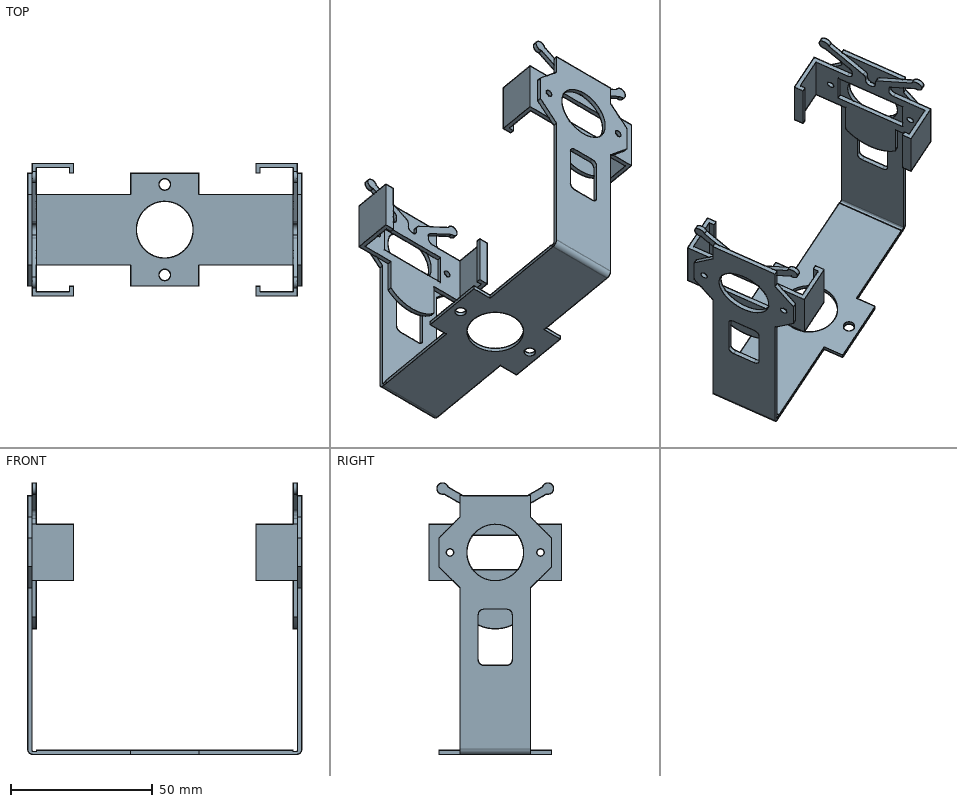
import cadquery as cq
import math

length = 97.0
half_length = length / 2
overall_height = 96.1
sheet = 1.6

half_width = 12.5
upright_height = 91.6
bend_radius = 1.9
relief_depth = 0.4
relief_fillet = 0.3

tab_reach = 20.0
opening_radius = 10.0
screw_y = 16.0

tab_half_length = 12.0
base_hole_diameter = 4.0

eye_z = 71.5
ear_half_flat = 5.0
ear_root_half_height = ear_half_flat + tab_reach - half_width
upright_hole_diameter = 2.5
window_width = 12.0
window_height = 19.8
window_z = 41.5
window_corner_radius = 1.9

clip_back_x = -half_length + sheet
clip_half_width = 46.9 / 2
clip_height = 20.0
clip_reach = 16.3
clip_top = eye_z + clip_height / 2
clip_bottom = eye_z - clip_height / 2
clip_window_width = 26.0
clip_window_height = 12.1
tongue_half_width = 10.0
tongue_corner_z = 48.6
tongue_tip_z = 44.4

ball_radius = 2.0
ball_y = 18.6
ball_z = overall_height - ball_radius
finger_width = 2.9
finger_angle = math.radians(30)
finger_fillet = 1.9
finger_root_y = 7.4
slot_radius = 1.9
slot_round_z = 83.6


def x_edges(body, points):
    """Edges of the clip plate along X that lie nearest to each (y, z) point."""
    middle_x = clip_back_x + sheet / 2
    along_x = body.edges("|X")
    nearest = [cq.selectors.NearestToPointSelector((middle_x, y, z)) for y, z in points]
    return body.newObject([along_x.edges(selector).val() for selector in nearest])


def bracket_strip():
    """Side profile of the U, with a shallow relief groove along each bend."""
    floor = sheet - relief_depth
    inner = half_length - sheet
    return (
        cq.Workplane("XZ")
        .moveTo(0, 0)
        .lineTo(half_length - bend_radius, 0)
        .radiusArc((half_length, bend_radius), -bend_radius)
        .lineTo(half_length, upright_height)
        .lineTo(inner, upright_height)
        .lineTo(inner, floor + relief_fillet)
        .radiusArc((inner - relief_fillet, floor), relief_fillet)
        .lineTo(inner - sheet, floor)
        .lineTo(inner - sheet, sheet)
        .lineTo(0, sheet)
        .mirrorY()
        .extrude(half_width, both=True)
    )


def base_tabs():
    return cq.Workplane("XY").rect(2 * tab_half_length, 2 * tab_reach).extrude(sheet)


def upright_ears():
    """Bevelled ears beside the eye of both uprights."""
    left = (
        cq.Workplane("YZ", origin=(-half_length, 0, eye_z))
        .moveTo(0, ear_root_half_height)
        .lineTo(half_width, ear_root_half_height)
        .lineTo(tab_reach, ear_half_flat)
        .lineTo(tab_reach, -ear_half_flat)
        .lineTo(half_width, -ear_root_half_height)
        .lineTo(0, -ear_root_half_height)
        .mirrorY()
        .extrude(sheet)
    )
    return left.union(left.mirror("YZ"))


def base_holes():
    opening = cq.Workplane("XY").circle(opening_radius).extrude(sheet)
    screws = (
        cq.Workplane("XY")
        .pushPoints([(0, -screw_y), (0, screw_y)])
        .circle(base_hole_diameter / 2)
        .extrude(sheet)
    )
    return opening.union(screws)


def screw_holes():
    """Small holes along X, through both uprights and both clips."""
    return (
        cq.Workplane("YZ", origin=(0, 0, eye_z))
        .pushPoints([(-screw_y, 0), (screw_y, 0)])
        .circle(upright_hole_diameter / 2)
        .extrude(half_length, both=True)
    )


def upright_openings():
    eye = (
        cq.Workplane("YZ", origin=(0, 0, eye_z))
        .circle(opening_radius)
        .extrude(half_length, both=True)
    )
    window = (
        cq.Workplane("YZ", origin=(0, 0, window_z))
        .rect(window_width, window_height)
        .extrude(half_length, both=True)
        .edges("|X")
        .fillet(window_corner_radius)
    )
    return eye.union(window)


def make_bracket():
    body = bracket_strip().union(base_tabs()).union(upright_ears())
    return body.cut(base_holes()).cut(screw_holes()).cut(upright_openings())


def clip_plate():
    """Flat back of the clip: two sprung fingers above, a rounded tongue below."""
    slope = math.tan(finger_angle)
    edge_rise = finger_width / 2 / math.cos(finger_angle)
    tip_dy = finger_width / 2 * math.sin(finger_angle)
    tip_dz = finger_width / 2 * math.cos(finger_angle)
    knee_z = ball_z + edge_rise - (ball_y - slot_radius) * slope
    root_z = ball_z - edge_rise - (ball_y - finger_root_y) * slope

    tongue_drop = tongue_corner_z - tongue_tip_z
    tongue_radius = (tongue_half_width**2 + tongue_drop**2) / (2 * tongue_drop)

    plate = (
        cq.Workplane("YZ", origin=(clip_back_x, 0, 0))
        .moveTo(0, slot_round_z - slot_radius)
        .radiusArc((slot_radius, slot_round_z), -slot_radius)
        .lineTo(slot_radius, knee_z)
        .lineTo(ball_y - tip_dy, ball_z + tip_dz)
        .lineTo(ball_y + tip_dy, ball_z - tip_dz)
        .lineTo(finger_root_y, root_z)
        .lineTo(finger_root_y, clip_top)
        .lineTo(clip_half_width, clip_top)
        .lineTo(clip_half_width, clip_bottom)
        .lineTo(tongue_half_width, clip_bottom)
        .lineTo(tongue_half_width, tongue_corner_z)
        .radiusArc((0, tongue_tip_z), tongue_radius)
        .mirrorY()
        .extrude(sheet)
    )
    corners = [
        (side * y, z)
        for side in (-1, 1)
        for y, z in ((slot_radius, knee_z), (finger_root_y, root_z), (finger_root_y, clip_top))
    ]
    plate = x_edges(plate, corners).fillet(finger_fillet)

    balls = (
        cq.Workplane("YZ", origin=(clip_back_x, 0, 0))
        .pushPoints([(-ball_y, ball_z), (ball_y, ball_z)])
        .circle(ball_radius)
        .extrude(sheet)
    )
    window = (
        cq.Workplane("YZ", origin=(clip_back_x, 0, eye_z))
        .rect(clip_window_width, clip_window_height)
        .extrude(sheet)
    )
    return plate.union(balls).cut(window)


def clip_jaws():
    """Two side walls along X, each ending in a lip turned towards the middle."""
    front = -half_length + clip_reach
    jaw = (
        cq.Workplane("XY", origin=(0, 0, clip_bottom))
        .moveTo(clip_back_x, clip_half_width)
        .lineTo(front, clip_half_width)
        .lineTo(front, tab_reach)
        .lineTo(front - sheet, tab_reach)
        .lineTo(front - sheet, clip_half_width - sheet)
        .lineTo(clip_back_x, clip_half_width - sheet)
        .close()
        .extrude(clip_height)
    )
    return jaw.union(jaw.mirror("XZ"))


def make_clip(turn):
    """Clip against the -X upright, turned about Z to the upright it serves."""
    clip = clip_plate().union(clip_jaws()).cut(screw_holes())
    return clip.rotate((0, 0, 0), (0, 0, 1), turn)


bracket = make_bracket()
clips = [make_clip(turn) for turn in (0, 180)]

result = cq.Compound.makeCompound([bracket.val(), *[clip.val() for clip in clips]])